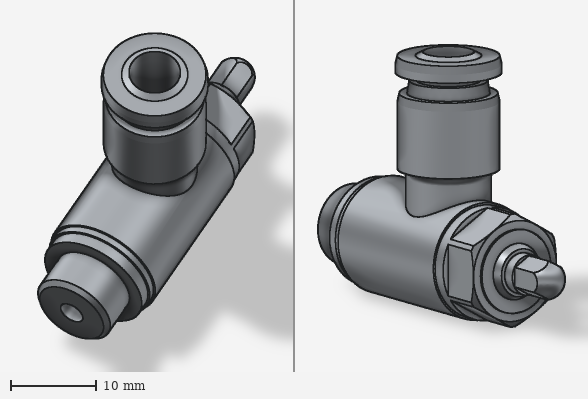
import cadquery as cq
import math


thread_end_y = -19.9
flange_front_y = -14.7
step_front_y = -13.22
body_front_y = -12.35
body_back_y = 6.6
nut_front_y = 8.2
nut_back_y = 13.22
disc_back_y = 13.5
cone_back_y = 14.45
collar_back_y = 16.0
tip_y = thread_end_y + 41.45

body_diameter = 14.0
step_diameter = 13.5
flange_diameter = 13.0
thread_diameter = 9.75
thread_chamfer = 0.6
disc_diameter = 10.0
cone_base_diameter = 6.7
cone_top_diameter = 5.7
collar_diameter = 4.8

nut_across_flats = 12.0
nut_chamfer_angle = 30.0
stem_across_flats = 4.05
stem_dome_radius = collar_diameter / 2

branch_top_z = 24.0
rim_top_z = 23.55
rim_edge_z = 22.55
rim_bottom_z = 21.55
sleeve_top_z = 20.6
socket_top_z = 19.05
socket_edge_z = 18.07
socket_bottom_z = 10.05

branch_diameter = 10.05
socket_diameter = 12.0
socket_top_diameter = 11.55
sleeve_base_diameter = 9.75
sleeve_top_diameter = 9.25
release_neck_diameter = 7.5
rim_diameter = 12.5
rim_top_diameter = 12.0
lip_base_diameter = 7.75

tube_bore_diameter = 6.0
tube_bore_bottom_z = socket_bottom_z
passage_diameter = 3.0


def y_section(diameter, start_y, end_y):
    """Cylinder about the Y axis."""
    plane = cq.Plane(origin=(0, start_y, 0), xDir=(1, 0, 0), normal=(0, 1, 0))
    return cq.Workplane(plane).circle(diameter / 2).extrude(end_y - start_y)


def y_hexagon(across_flats, start_y, end_y):
    """Hexagonal prism along Y with two flats facing -X and +X."""
    plane = cq.Plane(origin=(0, start_y, 0), xDir=(0, 0, 1), normal=(0, 1, 0))
    across_corners = across_flats / math.cos(math.radians(30))
    return cq.Workplane(plane).polygon(6, across_corners).extrude(end_y - start_y)


def make_body():
    body = y_section(body_diameter, body_front_y, body_back_y)
    body = body.union(y_section(step_diameter, step_front_y, body_front_y))
    body = body.union(y_section(flange_diameter, flange_front_y, step_front_y))
    thread = y_section(thread_diameter, thread_end_y, flange_front_y)
    return body.union(thread.faces("<Y").chamfer(thread_chamfer))


def make_nut():
    """Hexagon with turned-off corners and a chamfered back, on a round shoulder."""
    face_radius = nut_across_flats / 2
    corner_radius = step_diameter / 2
    chamfer_length = (corner_radius - face_radius) * math.tan(math.radians(nut_chamfer_angle))
    turned_blank = (
        cq.Workplane("XY")
        .moveTo(0, nut_front_y)
        .lineTo(corner_radius, nut_front_y)
        .lineTo(corner_radius, nut_back_y - chamfer_length)
        .lineTo(face_radius, nut_back_y)
        .lineTo(0, nut_back_y)
        .close()
        .revolve(360, (0, 0, 0), (0, 1, 0))
    )
    nut = y_hexagon(nut_across_flats, nut_front_y, nut_back_y).intersect(turned_blank)
    return nut.union(y_section(step_diameter, body_back_y, nut_front_y))


def make_needle():
    """Disc, cone and collar leading to a hexagonal stem with a domed tip."""
    seat = (
        cq.Workplane("XY")
        .moveTo(0, nut_back_y)
        .lineTo(disc_diameter / 2, nut_back_y)
        .lineTo(disc_diameter / 2, disc_back_y)
        .lineTo(cone_base_diameter / 2, disc_back_y)
        .lineTo(cone_top_diameter / 2, cone_back_y)
        .lineTo(collar_diameter / 2, cone_back_y)
        .lineTo(collar_diameter / 2, collar_back_y)
        .lineTo(0, collar_back_y)
        .close()
        .revolve(360, (0, 0, 0), (0, 1, 0))
    )
    dome_center_y = tip_y - stem_dome_radius
    domed_blank = (
        cq.Workplane("XY")
        .moveTo(0, collar_back_y)
        .lineTo(stem_dome_radius, collar_back_y)
        .lineTo(stem_dome_radius, dome_center_y)
        .radiusArc((0, tip_y), -stem_dome_radius)
        .close()
        .revolve(360, (0, 0, 0), (0, 1, 0))
    )
    stem = y_hexagon(stem_across_flats, collar_back_y, tip_y).intersect(domed_blank)
    return seat.union(stem)


def make_branch():
    """Turned branch with tube socket and release ring, flared in below the socket."""
    flare_radius = (socket_diameter - branch_diameter) / 2
    flare_bottom_z = socket_bottom_z - flare_radius
    diagonal = flare_radius * math.sqrt(0.5)
    flare_middle = (socket_diameter / 2 - diagonal, flare_bottom_z + diagonal)
    return (
        cq.Workplane("XZ")
        .lineTo(branch_diameter / 2, 0)
        .lineTo(branch_diameter / 2, flare_bottom_z)
        .threePointArc(flare_middle, (socket_diameter / 2, socket_bottom_z))
        .lineTo(socket_diameter / 2, socket_edge_z)
        .lineTo(socket_top_diameter / 2, socket_top_z)
        .lineTo(sleeve_base_diameter / 2, socket_top_z)
        .lineTo(sleeve_top_diameter / 2, sleeve_top_z)
        .lineTo(release_neck_diameter / 2, sleeve_top_z)
        .lineTo(release_neck_diameter / 2, rim_bottom_z)
        .lineTo(rim_diameter / 2, rim_bottom_z)
        .lineTo(rim_diameter / 2, rim_edge_z)
        .lineTo(rim_top_diameter / 2, rim_top_z)
        .lineTo(lip_base_diameter / 2, rim_top_z)
        .lineTo(tube_bore_diameter / 2, branch_top_z)
        .lineTo(0, branch_top_z)
        .close()
        .revolve(360, (0, 0, 0), (0, 1, 0))
    )


def make_passage():
    """Tube bore and the elbow passage, rounded by a sphere where its two legs meet."""
    radius = passage_diameter / 2
    bore_depth = branch_top_z - tube_bore_bottom_z
    bore = (
        cq.Workplane("XY", origin=(0, 0, tube_bore_bottom_z))
        .circle(tube_bore_diameter / 2)
        .extrude(bore_depth)
    )
    upright_leg = cq.Workplane("XY").circle(radius).extrude(tube_bore_bottom_z)
    level_leg = y_section(passage_diameter, thread_end_y, 0)
    elbow = cq.Workplane("XY").sphere(radius)
    return bore.union(upright_leg).union(level_leg).union(elbow)


solid_part = make_body().union(make_nut()).union(make_needle()).union(make_branch())
result = solid_part.cut(make_passage())